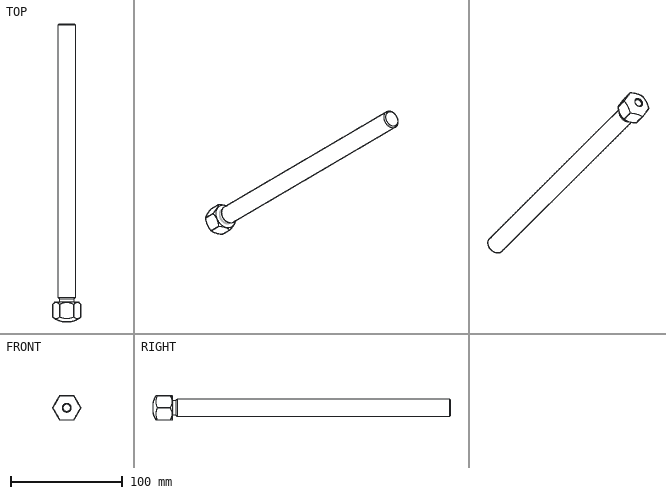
import cadquery as cq
import math

total_length = 266.98
shank_diameter = 16.0
shank_end_chamfer = 1.2
shank_length = 245.0

neck_diameter = 13.2
neck_fillet = 0.5

across_flats = 22.0
head_diameter = 25.2
head_length = 17.5
back_chamfer = 1.8
dome_radius = 20.0

countersink_diameter = 8.0
drill_diameter = 6.6
drill_depth = 10.0
drill_tip_angle = 118.0

head_radius = head_diameter / 2
shank_radius = shank_diameter / 2
neck_radius = neck_diameter / 2
countersink_radius = countersink_diameter / 2
drill_radius = drill_diameter / 2

front_y = -head_length
shank_end_y = front_y + total_length
shank_start_y = shank_end_y - shank_length


def dome_y(radius):
    """Y of the spherical dome at a given radius; the rim of the centre hole is at front_y."""
    rim_height = math.sqrt(dome_radius**2 - countersink_radius**2)
    return front_y + rim_height - math.sqrt(dome_radius**2 - radius**2)


crown_y = dome_y(0)


def revolve_about_axis(profile):
    return profile.close().revolve(360, (0, 0, 0), (0, 1, 0))


def make_head():
    """Hexagonal bar trimmed by a turned body that shapes the dome, corners and back chamfer."""
    middle_radius = head_radius / 2
    turned_body = revolve_about_axis(
        cq.Workplane("XY")
        .moveTo(0, crown_y)
        .threePointArc((middle_radius, dome_y(middle_radius)), (head_radius, dome_y(head_radius)))
        .lineTo(head_radius, -back_chamfer)
        .lineTo(head_radius - back_chamfer, 0)
        .lineTo(0, 0)
    )
    across_corners = across_flats / math.cos(math.pi / 6)
    hexagon = cq.Workplane("XZ").polygon(6, across_corners).extrude(-crown_y)
    return hexagon.intersect(turned_body)


def make_shank():
    """Round shank, tapering at 45 degrees to a neck that is filleted into the head."""
    neck_end_y = shank_start_y - (shank_radius - neck_radius)
    fillet_foot_radius = neck_radius + neck_fillet
    fillet_middle_offset = neck_fillet * (1 - math.sqrt(0.5))
    fillet_middle = (neck_radius + fillet_middle_offset, fillet_middle_offset)
    return revolve_about_axis(
        cq.Workplane("XY")
        .moveTo(0, 0)
        .lineTo(fillet_foot_radius, 0)
        .threePointArc(fillet_middle, (neck_radius, neck_fillet))
        .lineTo(neck_radius, neck_end_y)
        .lineTo(shank_radius, shank_start_y)
        .lineTo(shank_radius, shank_end_y - shank_end_chamfer)
        .lineTo(shank_radius - shank_end_chamfer, shank_end_y)
        .lineTo(0, shank_end_y)
    )


def make_centre_hole():
    """Drilled hole with a conical bottom and a 45 degree countersink whose rim is at front_y."""
    mouth_radius = countersink_radius + front_y - crown_y
    countersink_end_y = front_y + countersink_radius - drill_radius
    drill_end_y = front_y + drill_depth
    tip_length = drill_radius / math.tan(math.radians(drill_tip_angle / 2))
    return revolve_about_axis(
        cq.Workplane("XY")
        .moveTo(0, crown_y)
        .lineTo(mouth_radius, crown_y)
        .lineTo(drill_radius, countersink_end_y)
        .lineTo(drill_radius, drill_end_y)
        .lineTo(0, drill_end_y + tip_length)
    )


result = make_head().union(make_shank()).cut(make_centre_hole())